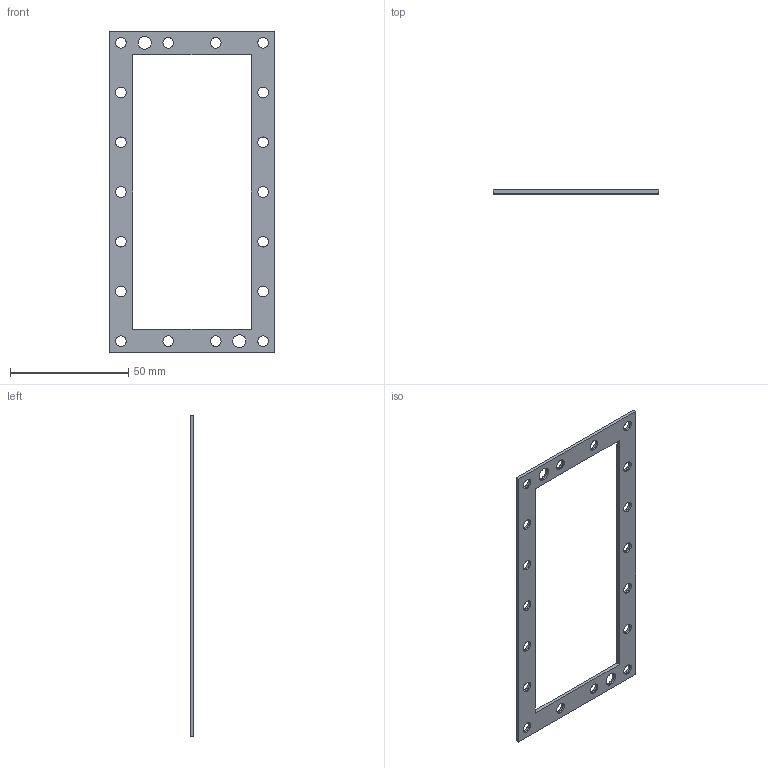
import cadquery as cq

frame_width = 70.0
frame_height = 136.0
thickness = 1.5
border = 10.0
bolt_diameter = 4.5
dowel_diameter = 5.5
bolts_per_side = 7
bolts_per_end = 4

bolt_x = (frame_width - border) / 2
bolt_z = (frame_height - border) / 2
side_pitch = 2 * bolt_z / (bolts_per_side - 1)
end_pitch = 2 * bolt_x / (bolts_per_end - 1)
dowel_x = bolt_x - end_pitch / 2


def plate(width, height):
    """Rectangular plate in the XZ plane, centred on the origin."""
    return cq.Workplane("XY").box(width, thickness, height)


def bolt_centres():
    """(x, z) centres of all the bolt holes, each corner listed once."""
    centres = []
    for side in (-1, 1):
        for i in range(bolts_per_side):
            centres.append((side * bolt_x, -bolt_z + i * side_pitch))
        for i in range(1, bolts_per_end - 1):
            centres.append((-bolt_x + i * end_pitch, side * bolt_z))
    return centres


def hole_cutters(centres, diameter):
    """Cylinders along Y that pass through the whole plate."""
    return (
        cq.Workplane("XZ")
        .pushPoints(centres)
        .circle(diameter / 2)
        .extrude(thickness, both=True)
    )


window_width = frame_width - 2 * border
window_height = frame_height - 2 * border
frame = plate(frame_width, frame_height).cut(plate(window_width, window_height))

dowel_centres = [(-dowel_x, bolt_z), (dowel_x, -bolt_z)]
frame = frame.cut(hole_cutters(bolt_centres(), bolt_diameter))
result = frame.cut(hole_cutters(dowel_centres, dowel_diameter))